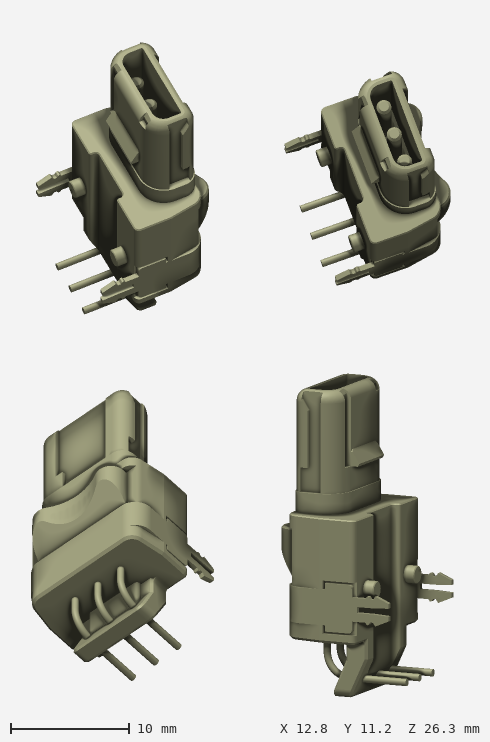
import cadquery as cq
import math


TOTAL_HEIGHT = 26.25
HOUSING_HALF_WIDTH = 6.4
HOUSING_BOTTOM = 5.05
HOUSING_TOP = 15.75
HOUSING_DEPTH = 6.72
TAPER_START_Y = 3.28
REAR_HALF_WIDTH = 5.83
REAR_CORNER_RADIUS = 1.25
FRONT_CORNER_RADIUS = 0.5
EDGE_CHAMFER = 0.1
BOTTOM_CHAMFER = 0.24
REAR_LIP_BOTTOM = 14.57
REAR_RECESS_Y = 6.15

BELT_BOTTOM = 6.6
BELT_TOP = 9.65
BELT_CORNER_RADIUS = 1.75

GRIP_TOP = 14.4
GRIP_HALF_WIDTH = 4.85
GRIP_CREST_X = 3.46
GRIP_CREST_Y = 8.08
GRIP_LOBE_RADIUS = GRIP_HALF_WIDTH - GRIP_CREST_X
GRIP_SADDLE_Y = 7.17
GRIP_SLOPE_TOP = 12.7
GRIP_SLOPE_BOTTOM = 9.58
GRIP_CHAMFER = 0.15

FOOT_HALF_WIDTH = 4.0
FOOT_THICKNESS = 2.02
FOOT_BEND_Z = 3.45
FOOT_BACK_BEND_Z = 3.23
FOOT_SHIFT = 1.6
FOOT_BOTTOM_DEPTH = 1.8
FOOT_CORNER_RADIUS = 0.74
FOOT_CHAMFER = 0.2
FOOT_JOINT_RADIUS = 0.4
FOOT_RIB_HALF_WIDTH = 2.78
FOOT_RIB_FRONT = 1.05
FOOT_RIB_Y = 2.52
FOOT_RIB_BOTTOM = 2.1
FOOT_RIB_RADIUS = 0.37

CHANNEL_HALF_WIDTH = 2.55
CHANNEL_DEPTH = 0.74
CHANNEL_MOUTH_RADIUS = 0.24
CHANNEL_ROOT_RADIUS = 0.35

PLUG_FRONT = 2.2
PLUG_BACK = 6.62
PLUG_HALF_WIDTH = 4.83
PLUG_FRONT_RADIUS = 2.2
PLUG_BACK_RADIUS = 1.23
COLLAR_STEP = 0.1
COLLAR_TOP = 17.5
NOSE_RADIUS = 1.0
NOSE_TRIM = 0.03

CAVITY_HALF_WIDTH = 3.78
CAVITY_FRONT = 3.28
CAVITY_BACK = 5.55
CAVITY_FRONT_RADIUS = 1.05
CAVITY_BACK_RADIUS = 0.15
CONTACT_BASE_RADIUS = 0.9
CONTACT_RADIUS = 0.63
CONTACT_TIP_RADIUS = 0.42
CONTACT_TOP = 23.62

SIDE_GROOVE_X = 4.33
SIDE_GROOVE_FRONT = 3.95
SIDE_GROOVE_BACK = 5.15
SIDE_GROOVE_WIDE_BACK = 5.88
SIDE_GROOVE_FLARE_Y = 5.75
SIDE_GROOVE_FLARE_TOP = 25.45
SIDE_GROOVE_FLARE_BOTTOM = 24.55
GROOVE_STOP = 19.64
FRONT_GROOVE_Y = 2.65
FRONT_GROOVE_FLARE_Y = 2.95
FRONT_GROOVE_FLARE_Z = 25.83
FRONT_GROOVE_INNER_X = 2.45
FRONT_GROOVE_OUTER_X = 3.35
BACK_GROOVE_Y = 6.15
BACK_GROOVE_HALF_WIDTH = 2.78
BACK_GROOVE_STEP_X = 2.02

RAMP_HALF_WIDTH = FRONT_GROOVE_INNER_X
RAMP_TOP = 21.08
RAMP_NOSE_Z = 19.9
RAMP_TIP_Y = 1.45
RAMP_NOSE_SETBACK = 0.13
RAMP_SIDE_CHAMFER = 0.2

PIN_PITCH = 2.55
PIN_RADIUS = 0.32
PIN_Y = 4.38
PIN_EXIT_Z = 1.52
PIN_BEND_RADIUS = 2.07
PIN_END_Y = -3.07

PEG_X = 4.0
PEG_Z = 9.53
PEG_RADIUS = 0.75
PEG_LENGTH = 0.97
PEG_CHAMFER = 0.08

CLIP_Z = 8.15
CLIP_THICKNESS = 0.45
CLIP_BACK = 2.78
CLIP_SHOULDER_Y = 0.25
CLIP_HALF_HEIGHT = 2.07
CLIP_GAP = 0.2
CLIP_CORNER_RADIUS = 0.32
PRONG_TIP_Y = -3.15
PRONG_HALF_HEIGHT = 1.02
SLIT_HALF_HEIGHT = 0.25
SLIT_END_Y = -0.2
SLIT_PARALLEL_LENGTH = 1.45
SLIT_MOUTH_HALF_HEIGHT = 0.35


def box(x0, x1, y0, y1, z0, z1):
    return cq.Workplane("XY").box(x1 - x0, y1 - y0, z1 - z0, centered=False).translate((x0, y0, z0))


def both_sides(solid):
    return solid.union(solid.mirror("YZ"))


def side_prism(points, x0, x1):
    """Prism along X from a closed outline of (Y, Z) points."""
    return cq.Workplane("YZ").polyline(points).close().extrude(x1 - x0).translate((x0, 0, 0))


def rounded_block(half_width, front, back, front_radius, back_radius, bottom, top):
    block = box(-half_width, half_width, front, back, bottom, top)
    block = block.edges("|Z and <Y").fillet(front_radius)
    middle_y = (front + back) / 2
    rear_edges = cq.selectors.BoxSelector((-half_width - 0.25, middle_y, bottom), (half_width + 0.25, back + 0.25, top))
    return block.edges("|Z").edges(rear_edges).fillet(back_radius)


def rear_rounded_section(rear_half_width, corner_radius, bottom, top):
    """Housing cross-section with straight front sides and rounded rear corners."""
    half = [
        (HOUSING_HALF_WIDTH, 0),
        (HOUSING_HALF_WIDTH, TAPER_START_Y),
        (rear_half_width, HOUSING_DEPTH),
    ]
    mirrored = [(-x, y) for x, y in reversed(half)]
    section = cq.Workplane("XY", origin=(0, 0, bottom)).polyline(half + mirrored).close()
    return section.extrude(top - bottom).edges("|Z and >Y").fillet(corner_radius)


def make_foot():
    profile = [
        (0, HOUSING_BOTTOM + 0.25),
        (0, FOOT_BEND_Z),
        (FOOT_SHIFT, 0),
        (FOOT_SHIFT + FOOT_BOTTOM_DEPTH, 0),
        (FOOT_THICKNESS, FOOT_BACK_BEND_Z),
        (FOOT_THICKNESS, HOUSING_BOTTOM + 0.25),
    ]
    foot = side_prism(profile, -FOOT_HALF_WIDTH, FOOT_HALF_WIDTH)
    outline = box(-FOOT_HALF_WIDTH, FOOT_HALF_WIDTH, 0, HOUSING_DEPTH, 0, HOUSING_BOTTOM + 0.25)
    outline = outline.edges("|Y and <Z").fillet(FOOT_CORNER_RADIUS)
    foot = foot.intersect(outline)
    rim = [edge for edge in foot.edges().vals() if is_foot_rim(edge)]
    return foot.newObject(rim).chamfer(FOOT_CHAMFER)


def is_foot_rim(edge):
    """True for edges that follow the foot outline on its front or back face."""
    bounds = edge.BoundingBox()
    if bounds.zmin > HOUSING_BOTTOM:
        return False
    if bounds.xlen > FOOT_HALF_WIDTH:
        return bounds.zmax < FOOT_CHAMFER
    runs_front_to_back = bounds.ylen > FOOT_CHAMFER and bounds.zlen < FOOT_CHAMFER
    return not runs_front_to_back


def make_foot_joint():
    """Concave rounding between a foot side and the housing underside."""
    x0, x1 = FOOT_HALF_WIDTH, FOOT_HALF_WIDTH + FOOT_JOINT_RADIUS
    z0 = HOUSING_BOTTOM - FOOT_JOINT_RADIUS
    front, back = FOOT_CHAMFER, FOOT_THICKNESS - FOOT_CHAMFER
    block = box(x0, x1, front, back, z0, HOUSING_BOTTOM)
    round_out = cq.Workplane("XZ", origin=(x1, front, z0)).circle(FOOT_JOINT_RADIUS).extrude(front - back)
    return both_sides(block.cut(round_out))


def make_foot_rib():
    """Thickening behind the channel where it runs down into the foot."""
    width, top = FOOT_RIB_HALF_WIDTH, HOUSING_BOTTOM + 0.25
    rib = box(-width, width, FOOT_RIB_FRONT, FOOT_RIB_Y, FOOT_RIB_BOTTOM, top)
    return rib.edges("|Z and >Y").fillet(FOOT_RIB_RADIUS)


def make_housing():
    housing = rear_rounded_section(REAR_HALF_WIDTH, REAR_CORNER_RADIUS, HOUSING_BOTTOM, HOUSING_TOP)
    housing = housing.edges("|Z and <Y").fillet(FRONT_CORNER_RADIUS)
    housing = housing.faces("<Z").edges().chamfer(BOTTOM_CHAMFER)
    housing = housing.union(make_foot()).union(make_foot_joint()).union(make_foot_rib()).cut(make_channel())
    housing = housing.faces(">Z").edges().chamfer(EDGE_CHAMFER)
    recess_width = HOUSING_HALF_WIDTH + 0.25
    housing = housing.cut(
        box(-recess_width, recess_width, REAR_RECESS_Y, HOUSING_DEPTH + 0.25, BELT_TOP, REAR_LIP_BOTTOM)
    )
    belt = rear_rounded_section(HOUSING_HALF_WIDTH, BELT_CORNER_RADIUS, BELT_BOTTOM, BELT_TOP)
    rear_space = box(-recess_width, recess_width, TAPER_START_Y, HOUSING_DEPTH + 0.25, 0, TOTAL_HEIGHT)
    return housing.union(belt.intersect(rear_space))


def make_grip():
    lobe_y = GRIP_CREST_Y - GRIP_LOBE_RADIUS
    rise = GRIP_SADDLE_Y - lobe_y
    saddle_radius = (GRIP_CREST_X**2 + rise**2 - GRIP_LOBE_RADIUS**2) / (2 * (GRIP_LOBE_RADIUS - rise))
    lobe_share = GRIP_LOBE_RADIUS / (GRIP_LOBE_RADIUS + saddle_radius)
    touch_x = GRIP_CREST_X * (1 - lobe_share)
    touch_y = lobe_y + lobe_share * (rise + saddle_radius)
    grip = (
        cq.Workplane("XY", origin=(0, 0, BELT_BOTTOM))
        .moveTo(-GRIP_HALF_WIDTH, REAR_RECESS_Y - 0.25)
        .lineTo(-GRIP_HALF_WIDTH, lobe_y)
        .threePointArc((-GRIP_CREST_X, GRIP_CREST_Y), (-touch_x, touch_y))
        .threePointArc((0, GRIP_SADDLE_Y), (touch_x, touch_y))
        .threePointArc((GRIP_CREST_X, GRIP_CREST_Y), (GRIP_HALF_WIDTH, lobe_y))
        .lineTo(GRIP_HALF_WIDTH, REAR_RECESS_Y - 0.25)
        .close()
        .extrude(GRIP_TOP - BELT_BOTTOM)
    )
    side = [
        (REAR_RECESS_Y - 0.25, GRIP_TOP),
        (GRIP_CREST_Y, GRIP_TOP),
        (GRIP_CREST_Y, GRIP_SLOPE_TOP),
        (REAR_RECESS_Y, GRIP_SLOPE_BOTTOM),
        (REAR_RECESS_Y - 0.25, GRIP_SLOPE_BOTTOM),
    ]
    grip = grip.intersect(side_prism(side, -GRIP_HALF_WIDTH, GRIP_HALF_WIDTH))
    return grip.faces(">Z").edges().chamfer(GRIP_CHAMFER)


def make_channel():
    height = HOUSING_TOP + 0.25
    groove = box(-CHANNEL_HALF_WIDTH, CHANNEL_HALF_WIDTH, 0, CHANNEL_DEPTH, 0, height)
    groove = groove.edges("|Z and >Y").fillet(CHANNEL_ROOT_RADIUS)
    mouth_x = CHANNEL_HALF_WIDTH + CHANNEL_MOUTH_RADIUS
    mouth = box(-mouth_x, mouth_x, 0, CHANNEL_MOUTH_RADIUS, 0, height)
    lips = cq.Workplane("XY").pushPoints([(-mouth_x, CHANNEL_MOUTH_RADIUS), (mouth_x, CHANNEL_MOUTH_RADIUS)])
    return groove.union(mouth.cut(lips.circle(CHANNEL_MOUTH_RADIUS).extrude(height)))


def make_plug():
    collar = rounded_block(
        PLUG_HALF_WIDTH + COLLAR_STEP,
        PLUG_FRONT - COLLAR_STEP,
        PLUG_BACK + COLLAR_STEP,
        PLUG_FRONT_RADIUS + COLLAR_STEP,
        PLUG_BACK_RADIUS + COLLAR_STEP,
        HOUSING_TOP - 0.25,
        COLLAR_TOP,
    )
    shell = rounded_block(
        PLUG_HALF_WIDTH,
        PLUG_FRONT,
        PLUG_BACK,
        PLUG_FRONT_RADIUS,
        PLUG_BACK_RADIUS,
        COLLAR_TOP - 0.25,
        TOTAL_HEIGHT + NOSE_TRIM,
    )
    shell = shell.faces(">Z").edges().fillet(NOSE_RADIUS)
    trim_x, trim_y = PLUG_HALF_WIDTH + 0.25, PLUG_BACK + 0.25
    shell = shell.cut(box(-trim_x, trim_x, 0, trim_y, TOTAL_HEIGHT, TOTAL_HEIGHT + 0.25))
    cavity = rounded_block(
        CAVITY_HALF_WIDTH,
        CAVITY_FRONT,
        CAVITY_BACK,
        CAVITY_FRONT_RADIUS,
        CAVITY_BACK_RADIUS,
        COLLAR_TOP,
        TOTAL_HEIGHT + 0.25,
    )
    return shell.cut(make_plug_grooves()).union(collar).cut(cavity).union(make_ramp())


def make_plug_grooves():
    top = TOTAL_HEIGHT + 0.25
    side_outline = [
        (SIDE_GROOVE_FRONT, COLLAR_TOP),
        (SIDE_GROOVE_WIDE_BACK, COLLAR_TOP),
        (SIDE_GROOVE_WIDE_BACK, GROOVE_STOP),
        (SIDE_GROOVE_BACK, GROOVE_STOP),
        (SIDE_GROOVE_BACK, SIDE_GROOVE_FLARE_BOTTOM),
        (SIDE_GROOVE_FLARE_Y, SIDE_GROOVE_FLARE_TOP),
        (SIDE_GROOVE_FLARE_Y, top),
        (SIDE_GROOVE_FRONT, top),
    ]
    grooves = both_sides(side_prism(side_outline, SIDE_GROOVE_X, PLUG_HALF_WIDTH + 0.25))
    short_stop = TOTAL_HEIGHT + NOSE_TRIM - NOSE_RADIUS
    grooves = grooves.union(front_groove(-FRONT_GROOVE_OUTER_X, GROOVE_STOP))
    grooves = grooves.union(front_groove(FRONT_GROOVE_INNER_X, short_stop))
    edge, step = BACK_GROOVE_HALF_WIDTH, BACK_GROOVE_STEP_X
    grooves = grooves.union(box(-edge, step, BACK_GROOVE_Y, PLUG_BACK + 0.25, COLLAR_TOP, top))
    return grooves.union(box(step, edge, BACK_GROOVE_Y, PLUG_BACK + 0.25, GROOVE_STOP, top))


def front_groove(x0, bottom):
    outline = [
        (0, bottom),
        (FRONT_GROOVE_Y, bottom),
        (FRONT_GROOVE_Y, FRONT_GROOVE_FLARE_Z),
        (FRONT_GROOVE_FLARE_Y, TOTAL_HEIGHT),
        (0, TOTAL_HEIGHT),
    ]
    return side_prism(outline, x0, x0 + FRONT_GROOVE_OUTER_X - FRONT_GROOVE_INNER_X)


def make_ramp():
    profile = [
        (PLUG_FRONT + 0.25, RAMP_TOP),
        (PLUG_FRONT, RAMP_TOP),
        (RAMP_TIP_Y, RAMP_NOSE_Z),
        (RAMP_TIP_Y + RAMP_NOSE_SETBACK, GROOVE_STOP),
        (PLUG_FRONT + 0.25, GROOVE_STOP),
    ]
    ramp = side_prism(profile, -RAMP_HALF_WIDTH, RAMP_HALF_WIDTH)
    return ramp.faces("<<Y[1]").edges("not |X").chamfer(RAMP_SIDE_CHAMFER)


def make_terminal(x):
    """Bent board pin below the housing and the matching contact inside the plug."""
    diagonal = PIN_BEND_RADIUS * math.sqrt(0.5)
    bend_y = PIN_Y - PIN_BEND_RADIUS
    bend_z = PIN_EXIT_Z + PIN_BEND_RADIUS
    path = (
        cq.Workplane("YZ", origin=(x, 0, 0))
        .moveTo(PIN_Y, HOUSING_BOTTOM + 0.25)
        .lineTo(PIN_Y, bend_z)
        .threePointArc((bend_y + diagonal, bend_z - diagonal), (bend_y, PIN_EXIT_Z))
        .lineTo(PIN_END_Y, PIN_EXIT_Z)
    )
    pin = cq.Workplane("XY", origin=(x, PIN_Y, HOUSING_BOTTOM + 0.25)).circle(PIN_RADIUS).sweep(path)
    base_height = CONTACT_BASE_RADIUS - CONTACT_RADIUS
    contact = (
        cq.Workplane("XZ", origin=(x, PIN_Y, 0))
        .polyline(
            [
                (0, COLLAR_TOP - 0.25),
                (CONTACT_BASE_RADIUS, COLLAR_TOP - 0.25),
                (CONTACT_BASE_RADIUS, COLLAR_TOP),
                (CONTACT_RADIUS, COLLAR_TOP + base_height),
                (CONTACT_RADIUS, CONTACT_TOP - CONTACT_RADIUS + CONTACT_TIP_RADIUS),
                (CONTACT_TIP_RADIUS, CONTACT_TOP),
                (0, CONTACT_TOP),
            ]
        )
        .close()
        .revolve(360, (0, 0, 0), (0, 1, 0))
    )
    return pin.union(contact)


def make_peg(x):
    peg = cq.Workplane("XZ", origin=(x, 0.25, PEG_Z)).circle(PEG_RADIUS).extrude(PEG_LENGTH + 0.25)
    return peg.faces("<Y").chamfer(PEG_CHAMFER)


def clip_block(y0, y1, half_height):
    inner = HOUSING_HALF_WIDTH - CLIP_THICKNESS
    return box(inner, HOUSING_HALF_WIDTH, y0, y1, CLIP_Z - half_height, CLIP_Z + half_height)


def make_clip():
    plate = clip_block(CLIP_SHOULDER_Y, CLIP_BACK, CLIP_HALF_HEIGHT)
    plate = plate.edges("|X and <Y").fillet(CLIP_CORNER_RADIUS)
    arm = clip_block(CLIP_SHOULDER_Y + CLIP_CORNER_RADIUS, TAPER_START_Y, (BELT_TOP - BELT_BOTTOM) / 2)
    prong_edge = [
        (CLIP_SHOULDER_Y, PRONG_HALF_HEIGHT),
        (-1.0, PRONG_HALF_HEIGHT),
        (-1.15, 1.23),
        (-1.3, 1.18),
        (-1.45, 0.97),
        (-1.7, 0.97),
        (-1.92, 1.29),
        (PRONG_TIP_Y, 0.75),
        (PRONG_TIP_Y, SLIT_MOUTH_HALF_HEIGHT),
        (SLIT_END_Y - SLIT_PARALLEL_LENGTH, SLIT_HALF_HEIGHT),
        (SLIT_END_Y, SLIT_HALF_HEIGHT),
        (SLIT_END_Y, 0),
        (CLIP_SHOULDER_Y, 0),
    ]
    prong = side_prism(prong_edge, HOUSING_HALF_WIDTH - CLIP_THICKNESS, HOUSING_HALF_WIDTH)
    prongs = prong.union(prong.mirror("XY")).translate((0, 0, CLIP_Z))
    return plate.union(arm).union(prongs)


housing = make_housing().union(make_grip())
pocket = clip_block(-0.25, CLIP_BACK + CLIP_GAP, CLIP_HALF_HEIGHT + CLIP_GAP)
housing = housing.cut(both_sides(pocket))
result = housing.union(make_plug()).union(both_sides(make_clip()))
for side in (-1, 1):
    result = result.union(make_peg(side * PEG_X))
for index in (-1, 0, 1):
    result = result.union(make_terminal(index * PIN_PITCH))